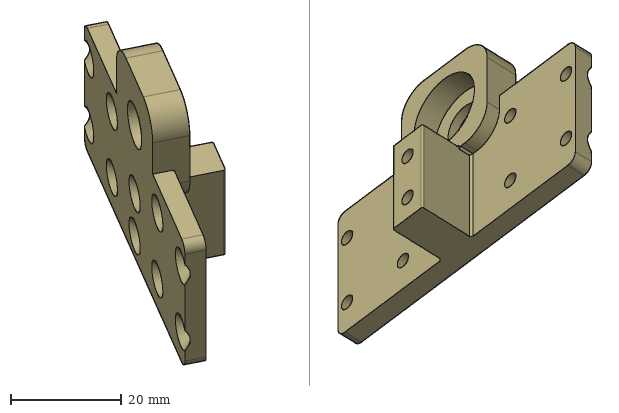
import cadquery as cq

plate_width = 63.85
plate_height = 29.9
plate_thickness = 4.0
plate_corner_radius = 2.0

total_height = 43.5
pad_size = 23.05
pad_thickness = 7.0
pad_corner_radius = 6.0
pad_center_z = total_height - pad_size / 2

lip_bore_diameter = 9.0
lip_thickness = 2.0
pocket_diameter = 16.2

total_depth = 16.0
block_width = 8.0
block_height = total_height - pad_size
block_edge_radius = 0.4
root_size = 0.45

screw_diameter = 3.0
countersink_diameter = 7.0
countersink_angle = 90
outer_column_x = 29.4
inner_column_x = 14.4
upper_row_z = 22.9
lower_row_z = 6.95
block_screw_heights = (5.1, 15.3)


def rounded_slab(width, height, thickness, center_z, radius):
    """Upright slab with its front face on y = 0 and rounded corners."""
    slab = cq.Workplane("XY").box(width, thickness, height, centered=(True, False, True))
    return slab.translate((0, 0, center_z)).edges("|Y").fillet(radius)


def round_cutter(diameter, start_y, end_y, center_z):
    """Cylinder along Y on the centre line."""
    face = cq.Workplane("XZ", origin=(0, start_y, center_z))
    return face.circle(diameter / 2).extrude(start_y - end_y)


def top_root():
    """Sloped root where the block's top meets the rear face of the pad."""
    profile = [
        (pad_thickness, block_height),
        (pad_thickness, block_height + root_size),
        (pad_thickness + root_size, block_height),
    ]
    face = cq.Workplane("YZ", origin=(-block_width / 2, 0, 0))
    return face.polyline(profile).close().extrude(block_width)


def pad_underside_roots():
    """Sloped roots where both sides of the block meet the underside of the pad."""
    half_width = block_width / 2
    profile = [
        (-half_width, block_height - root_size),
        (half_width, block_height - root_size),
        (half_width + root_size, block_height),
        (-half_width - root_size, block_height),
    ]
    return cq.Workplane("XZ").polyline(profile).close().extrude(-pad_thickness)


def rear_block():
    """Block with rounded rear edges and sloped roots along both sides."""
    size = (block_width, total_depth, block_height)
    block = cq.Workplane("XY").box(*size, centered=(True, False, False))
    block = block.edges("|Z and >Y").fillet(block_edge_radius)
    half_width = block_width / 2
    root_profile = [
        (-half_width - root_size, plate_thickness),
        (half_width + root_size, plate_thickness),
        (half_width, plate_thickness + root_size),
        (-half_width, plate_thickness + root_size),
    ]
    roots = cq.Workplane("XY").polyline(root_profile).close().extrude(block_height)
    return block.union(roots).union(top_root()).union(pad_underside_roots())


plate = rounded_slab(plate_width, plate_height, plate_thickness, plate_height / 2, plate_corner_radius)
pad = rounded_slab(pad_size, pad_size, pad_thickness, pad_center_z, pad_corner_radius)
body = plate.union(pad).union(rear_block())

body = body.cut(round_cutter(lip_bore_diameter, 0, pad_thickness, pad_center_z))
body = body.cut(round_cutter(pocket_diameter, lip_thickness, pad_thickness, pad_center_z))

screw_points = [
    (x, z)
    for x in (-outer_column_x, -inner_column_x, inner_column_x, outer_column_x)
    for z in (lower_row_z, upper_row_z)
]
screw_points += [(0, z) for z in block_screw_heights]

result = (
    body.faces("<Y")
    .workplane(origin=(0, 0, 0))
    .pushPoints(screw_points)
    .cskHole(screw_diameter, countersink_diameter, countersink_angle)
)